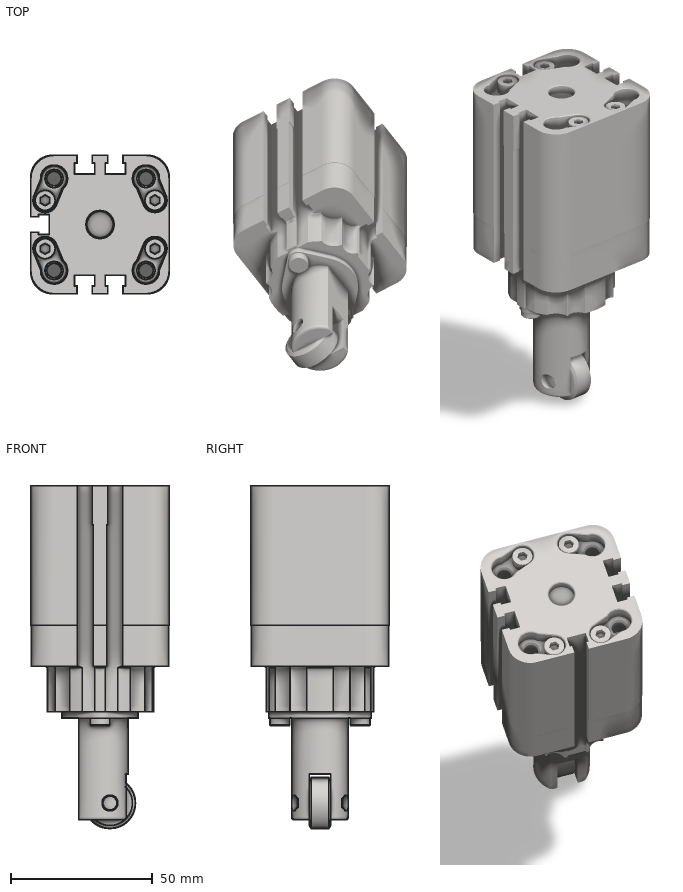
import cadquery as cq
import math

body_width = 49.0
base_width = 48.7
corner_radius = 7.9
cap_height = 13.9
barrel_height = 35.4
base_height = 14.5
neck_height = 16.1
total_height = 121.2

slot_depth = 6.5
lip_depth = 2.8
slot_width = 7.0
slot_center = 5.5
mouth_width = 5.3
rib_tip_width = 4.7

mount_pitch = 32.5
screw_pitch_x = 38.8
screw_pitch_y = 17.1
mount_pocket_diameter = 9.0
screw_pocket_diameter = 8.0
pocket_depth = 5.0
rim_chamfer = 0.3
mount_hole_diameter = 5.1
mount_hole_depth = 7.3
mount_hole_chamfer = 0.67
screw_head_diameter = 7.0
screw_head_drop = 0.8
hex_across_flats = 3.3
hex_depth = 2.4
center_recess_diameter = 9.3
center_recess_depth = 3.0

neck_radius = 19.0
neck_flare = 0.5
mount_scallop_radius = 5.6
screw_scallop_radius = 4.0

plate_thickness = 2.2
plate_radius = 13.5
plate_screw_offset = 14.2
plate_end_radius = 4.0
plate_screw_height = 2.7
plate_screw_chamfer = 0.2

rod_diameter = 20.0
rod_flat_offset = 7.5
rod_end_height = 3.0
rod_fillet = 1.1
fork_width = 7.5
fork_depth = 16.2

roller_diameter = 18.0
roller_bevel_radial = 1.1
roller_bevel_axial = 0.7
roller_offset = 3.5
pin_diameter = 5.6
pin_chamfer = 0.3
pin_length = 16.0

cap_bottom = -cap_height
barrel_bottom = cap_bottom - barrel_height
base_bottom = barrel_bottom - base_height
neck_bottom = base_bottom - neck_height
plate_bottom = neck_bottom - plate_thickness
part_bottom = -total_height
rod_bottom = part_bottom + rod_end_height
roller_z = part_bottom + roller_diameter / 2
slot_floor = body_width / 2 - slot_depth
lip_face = body_width / 2 - lip_depth
screw_points = [(sx * screw_pitch_x / 2, sy * screw_pitch_y / 2) for sx in (-1, 1) for sy in (-1, 1)]
mount_points = [(sx * mount_pitch / 2, sy * mount_pitch / 2) for sx in (-1, 1) for sy in (-1, 1)]


def plane(z):
    return cq.Workplane("XY", origin=(0, 0, z))


def square_block(width, top, bottom):
    return plane(bottom).rect(width, width).extrude(top - bottom).edges("|Z").fillet(corner_radius)


def box_between(x_range, y_range, z_range):
    x0, x1 = x_range
    y0, y1 = y_range
    z0, z1 = z_range
    return cq.Workplane("XY").box(x1 - x0, y1 - y0, z1 - z0, centered=False).translate((x0, y0, z0))


def t_slot(inner_mouth, outer_mouth, center, top, bottom):
    """T-slot open towards +Y; the mouth edges are given along X."""
    span = (bottom, top)
    chamber = box_between((center - slot_width / 2, center + slot_width / 2), (slot_floor, lip_face), span)
    return chamber.union(box_between((inner_mouth, outer_mouth), (lip_face, body_width), span))


def slot_cutters():
    """All T-slots; the rib between the paired slots narrows below the cap."""
    outer_mouth = slot_center + mouth_width / 2
    cap_mouth = slot_center - mouth_width / 2
    paired = t_slot(cap_mouth, outer_mouth, slot_center, 0, cap_bottom)
    paired = paired.union(t_slot(rib_tip_width / 2, outer_mouth, slot_center, cap_bottom, neck_bottom))
    paired = paired.union(paired.mirror("YZ"))
    single = t_slot(-mouth_width / 2, mouth_width / 2, 0, 0, neck_bottom)
    single = single.rotate((0, 0, 0), (0, 0, 1), 90)
    return paired.union(paired.mirror("XZ")).union(single)


def neck():
    """Round neck with a flared root, scalloped to clear the mounting and tie screws."""
    body = plane(neck_bottom).circle(neck_radius).extrude(neck_height)
    flare = plane(base_bottom).circle(neck_radius + neck_flare).extrude(-neck_flare, taper=45)
    body = body.union(flare)
    mount_scallops = plane(neck_bottom).pushPoints(mount_points).circle(mount_scallop_radius).extrude(neck_height)
    screw_scallops = plane(neck_bottom).pushPoints(screw_points).circle(screw_scallop_radius).extrude(neck_height)
    return body.cut(mount_scallops).cut(screw_scallops)


def guide_plate():
    """Oval plate: a round middle joined by tangents to the two screw ends."""
    tangent_angle = math.asin((plate_radius - plate_end_radius) / plate_screw_offset)
    normal_x = math.cos(tangent_angle)
    normal_y = math.sin(tangent_angle)
    side_x = plate_radius * normal_x
    side_y = plate_radius * normal_y
    end_x = plate_end_radius * normal_x
    end_y = plate_screw_offset + plate_end_radius * normal_y
    tip_y = plate_screw_offset + plate_end_radius
    return (
        plane(plate_bottom)
        .moveTo(side_x, -side_y)
        .threePointArc((plate_radius, 0), (side_x, side_y))
        .lineTo(end_x, end_y)
        .threePointArc((0, tip_y), (-end_x, end_y))
        .lineTo(-side_x, side_y)
        .threePointArc((-plate_radius, 0), (-side_x, -side_y))
        .lineTo(-end_x, -end_y)
        .threePointArc((0, -tip_y), (end_x, -end_y))
        .close()
        .extrude(plate_thickness)
    )


def plate_screws():
    heads = (
        plane(plate_bottom - plate_screw_height)
        .pushPoints([(0, -plate_screw_offset), (0, plate_screw_offset)])
        .circle(screw_head_diameter / 2)
        .extrude(plate_screw_height)
    )
    return heads.faces("<Z").edges().chamfer(plate_screw_chamfer)


def bevel(point, diameter):
    """Cone that breaks the top edge of a round recess."""
    return plane(0).center(*point).circle(diameter / 2 + rim_chamfer).extrude(-rim_chamfer, taper=45)


def pocket(mount_point, screw_point):
    """Keyhole pocket around one mounting hole and its neighbouring tie screw, with a bevelled rim."""
    mid_x = (mount_point[0] + screw_point[0]) / 2
    mid_y = (mount_point[1] + screw_point[1]) / 2
    run_x = mount_point[0] - screw_point[0]
    run_y = mount_point[1] - screw_point[1]
    length = math.hypot(run_x, run_y)
    angle = math.degrees(math.atan2(run_y, run_x))
    round_end = plane(-pocket_depth).center(*mount_point).circle(mount_pocket_diameter / 2).extrude(pocket_depth)
    width = screw_pocket_diameter
    rim_width = width + 2 * rim_chamfer
    channel = (
        plane(-pocket_depth)
        .center(mid_x, mid_y)
        .slot2D(length + width, width, angle)
        .extrude(pocket_depth)
    )
    channel_bevel = (
        plane(0)
        .center(mid_x, mid_y)
        .slot2D(length + rim_width, rim_width, angle)
        .extrude(-rim_chamfer, taper=45)
    )
    return round_end.union(channel).union(bevel(mount_point, mount_pocket_diameter)).union(channel_bevel)


def mount_holes():
    holes = plane(-pocket_depth).pushPoints(mount_points).circle(mount_hole_diameter / 2).extrude(-mount_hole_depth)
    sinks = (
        plane(-pocket_depth)
        .pushPoints(mount_points)
        .circle(mount_hole_diameter / 2 + mount_hole_chamfer)
        .extrude(-mount_hole_chamfer, taper=45)
    )
    return holes.union(sinks)


def tie_screws():
    """Socket heads standing on the pocket floors."""
    head_height = pocket_depth - screw_head_drop
    heads = plane(-pocket_depth).pushPoints(screw_points).circle(screw_head_diameter / 2).extrude(head_height)
    hexagon = cq.Sketch().regularPolygon(hex_across_flats / math.sqrt(3), 6)
    sockets = plane(-screw_head_drop).pushPoints(screw_points).placeSketch(hexagon).extrude(-hex_depth)
    return heads.cut(sockets)


def make_housing():
    housing = square_block(body_width, 0, barrel_bottom)
    housing = housing.union(square_block(base_width, barrel_bottom, base_bottom))
    housing = housing.union(neck()).cut(slot_cutters())
    for mount_point, screw_point in zip(mount_points, screw_points):
        housing = housing.cut(pocket(mount_point, screw_point))
    housing = housing.cut(mount_holes()).union(tie_screws())
    recess = plane(0).circle(center_recess_diameter / 2).extrude(-center_recess_depth)
    housing = housing.cut(recess).cut(bevel((0, 0), center_recess_diameter))
    return housing.union(guide_plate()).union(plate_screws())


def pin_axis_cylinder(diameter, length):
    """Cylinder along Y on the roller axis, centred on the part."""
    start = cq.Workplane("XZ", origin=(roller_offset, length / 2, roller_z))
    return start.circle(diameter / 2).extrude(length)


def make_rod():
    length = plate_bottom - rod_bottom
    rod = plane(rod_bottom).circle(rod_diameter / 2).extrude(length)
    rod = rod.faces("<Z").edges().fillet(rod_fillet)
    rod = rod.cut(
        box_between((-rod_diameter, -rod_flat_offset), (-rod_diameter, rod_diameter), (rod_bottom, plate_bottom))
    )
    fork = (-fork_width / 2, fork_width / 2)
    rod = rod.cut(box_between((-rod_diameter, rod_diameter), fork, (rod_bottom, rod_bottom + fork_depth)))
    return rod.cut(pin_axis_cylinder(pin_diameter, rod_diameter))


def make_roller():
    """Roller that fills the fork width, with both rims bevelled."""
    half_width = fork_width / 2
    rim_radius = roller_diameter / 2
    half_section = [
        (pin_diameter / 2, -half_width),
        (rim_radius - roller_bevel_radial, -half_width),
        (rim_radius, -half_width + roller_bevel_axial),
        (rim_radius, half_width - roller_bevel_axial),
        (rim_radius - roller_bevel_radial, half_width),
        (pin_diameter / 2, half_width),
    ]
    section = cq.Workplane("XY", origin=(roller_offset, 0, roller_z)).polyline(half_section).close()
    return section.revolve(360, (0, 0, 0), (0, 1, 0))


def make_pin():
    return pin_axis_cylinder(pin_diameter, pin_length).edges("%CIRCLE").chamfer(pin_chamfer)


housing = make_housing()
rod = make_rod()
roller = make_roller()
pin = make_pin()

result = cq.Compound.makeCompound([housing.val(), rod.val(), roller.val(), pin.val()])